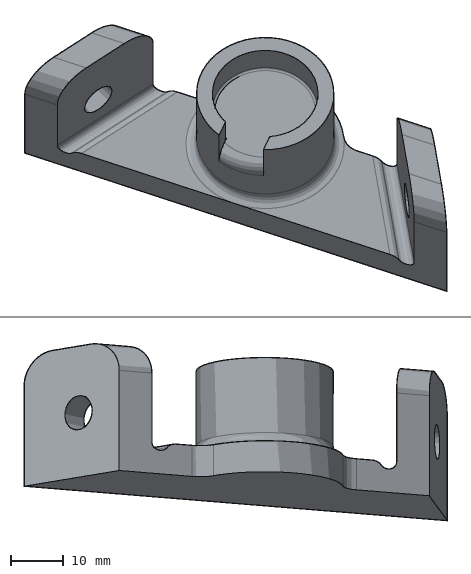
import cadquery as cq
import math

length = 86.1
plate_depth = 20.0
plate_thickness = 6.0
end_angle = 30.0

ear_height = 25.4
ear_thickness = 5.8
ear_corner_radius = 6.0
ear_hole_diameter = 6.5
ear_hole_height = 12.5

groove_radius = 1.5
groove_lip_radius = 2.0

flange_radius = 15.0
web_fillet = 4.0
cup_radius = 13.0
cup_height = 22.55
bore_radius = 10.0
bore_floor = 16.5
bore_floor_fillet = 0.4

notch_width = 9.0
notch_sill_radius = 2.5

half_length = length / 2
end_run = plate_depth * math.tan(math.radians(end_angle))
cup_base_fillet = flange_radius - cup_radius
cup_y = flange_radius


def make_block():
    """Trapezoid block as tall as the ears, with their top corners rounded."""
    return (
        cq.Workplane("XY")
        .moveTo(-half_length, 0)
        .lineTo(half_length, 0)
        .lineTo(half_length - end_run, plate_depth)
        .lineTo(end_run - half_length, plate_depth)
        .close()
        .extrude(ear_height)
        .edges("|X and >Z")
        .fillet(ear_corner_radius)
    )


def left_end_plane():
    """Section square to the left end: x runs inward from the end face, y runs up."""
    angle = math.radians(end_angle)
    return cq.Plane(
        origin=(end_run / 2 - half_length, plate_depth / 2, 0),
        xDir=(math.cos(angle), -math.sin(angle), 0),
        normal=(-math.sin(angle), -math.cos(angle), 0),
    )


def make_left_clearance():
    """Space inside the left ear, above the plate, including the relief groove."""
    groove_x = ear_thickness + groove_radius
    center_distance = groove_radius + groove_lip_radius
    lip_dx = math.sqrt(center_distance**2 - groove_lip_radius**2)
    lip_x = groove_x + lip_dx
    lip_y = plate_thickness - groove_lip_radius
    share = groove_radius / center_distance
    touch = (groove_x + lip_dx * share, plate_thickness - groove_lip_radius * share)
    lip_mid_angle = (math.pi / 2 + math.pi - math.atan2(groove_lip_radius, lip_dx)) / 2
    lip_mid = (
        lip_x + groove_lip_radius * math.cos(lip_mid_angle),
        lip_y + groove_lip_radius * math.sin(lip_mid_angle),
    )
    left_half = cq.Workplane("XY").box(length, length, length).translate((-half_length, 0, 0))
    return (
        cq.Workplane(left_end_plane())
        .moveTo(ear_thickness, ear_height)
        .lineTo(ear_thickness, plate_thickness)
        .threePointArc((groove_x, plate_thickness - groove_radius), touch)
        .threePointArc(lip_mid, (lip_x, plate_thickness))
        .lineTo(half_length, plate_thickness)
        .lineTo(half_length, ear_height)
        .close()
        .extrude(length, both=True)
        .intersect(left_half)
    )


def make_left_ear_hole():
    """Hole square to the left ear, through its middle halfway along the plate depth."""
    angle = math.radians(end_angle)
    axis = cq.Vector(math.cos(angle), -math.sin(angle), 0)
    ear_middle_x = end_run / 2 - half_length + ear_thickness / 2 / math.cos(angle)
    ear_middle = cq.Vector(ear_middle_x, plate_depth / 2, ear_hole_height)
    hole = cq.Solid.makeCylinder(
        ear_hole_diameter / 2, 2 * ear_thickness, ear_middle - axis * ear_thickness, axis
    )
    return cq.Workplane(hole)


def make_flange():
    """Round flange with concave webs where it leaves the back edge of the plate."""
    disc = cq.Workplane("XY").center(0, cup_y).circle(flange_radius).extrude(plate_thickness)
    center_distance = flange_radius + web_fillet
    web_y = plate_depth + web_fillet
    web_x = math.sqrt(center_distance**2 - (web_y - cup_y) ** 2)
    webs = (
        cq.Workplane("XY")
        .moveTo(0, cup_y)
        .lineTo(web_x, plate_depth)
        .lineTo(web_x, web_y)
        .close()
        .extrude(plate_thickness)
        .cut(cq.Workplane("XY").center(web_x, web_y).circle(web_fillet).extrude(plate_thickness))
    )
    return disc.union(webs).union(webs.mirror("YZ"))


def make_cup():
    """Turned cup, flared out to the flange edge at its foot."""
    flare_mid = cup_base_fillet * (1 - math.sqrt(0.5))
    corner_mid = bore_floor_fillet * (1 - math.sqrt(0.5))
    return (
        cq.Workplane("XZ")
        .lineTo(flange_radius, 0)
        .lineTo(flange_radius, plate_thickness)
        .threePointArc(
            (cup_radius + flare_mid, plate_thickness + flare_mid),
            (cup_radius, plate_thickness + cup_base_fillet),
        )
        .lineTo(cup_radius, cup_height)
        .lineTo(bore_radius, cup_height)
        .lineTo(bore_radius, bore_floor + bore_floor_fillet)
        .threePointArc(
            (bore_radius - corner_mid, bore_floor + corner_mid),
            (bore_radius - bore_floor_fillet, bore_floor),
        )
        .lineTo(0, bore_floor)
        .close()
        .revolve()
        .translate((0, cup_y, 0))
    )


def make_notch():
    """Opening in the front wall, over a sill rounded down to the outside of the cup."""
    sill_start = cup_radius - notch_sill_radius
    sill_bottom = bore_floor - notch_sill_radius
    sill_mid = notch_sill_radius * math.sqrt(0.5)
    ring = (
        cq.Workplane("XZ")
        .moveTo(0, cup_height)
        .lineTo(0, bore_floor)
        .lineTo(sill_start, bore_floor)
        .threePointArc((sill_start + sill_mid, sill_bottom + sill_mid), (cup_radius, sill_bottom))
        .lineTo(flange_radius, sill_bottom)
        .lineTo(flange_radius, cup_height)
        .close()
        .revolve()
        .translate((0, cup_y, 0))
    )
    front_slice = (
        cq.Workplane("XY")
        .box(notch_width, flange_radius, cup_height, centered=(True, False, False))
    )
    return ring.intersect(front_slice)


bracket = make_block()
for left_cutter in (make_left_clearance(), make_left_ear_hole()):
    bracket = bracket.cut(left_cutter).cut(left_cutter.mirror("YZ"))

result = bracket.union(make_flange()).union(make_cup()).cut(make_notch())